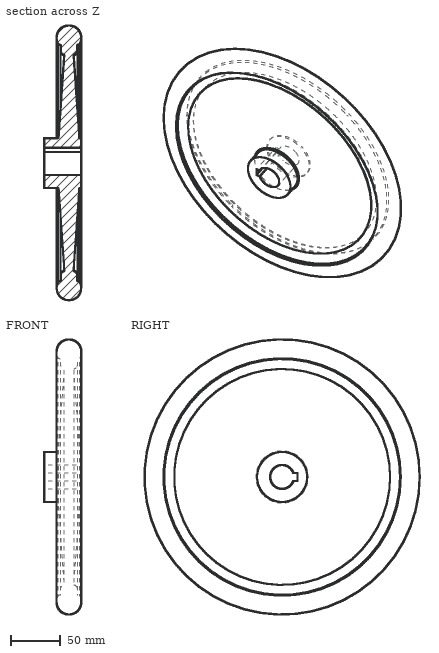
import cadquery as cq

wheel_radius = 140.0
rim_width = 25.5
hub_diameter = 51.0
hub_projection = 12.5
bore_diameter = 24.0
keyway_width = 7.8
keyway_reach = 15.5

rim_inner_radius = 120.7
lip_outer_radius = 119.8
lip_depth = 4.2
lip_inner_radius = 113.5
web_radius = 109.7
web_outer_depth = 7.8
web_hub_depth = 2.0
hub_flare = 1.0
shoulder_bulge = 0.5

rim_radius = rim_width / 2
rim_center_radius = wheel_radius - rim_radius
hub_radius = hub_diameter / 2
hub_front = -rim_radius - hub_projection
rim_cut_offset = (rim_radius**2 - (rim_center_radius - rim_inner_radius) ** 2) ** 0.5

lip_offset = rim_radius - lip_depth
web_outer_offset = rim_radius - web_outer_depth
web_hub_offset = rim_radius - web_hub_depth


def disc_and_rim():
    """Revolve the conical web, the lips and the round rim from one half section."""
    shoulder_offset = (lip_offset + web_outer_offset) / 2 + shoulder_bulge
    shoulder_radius = (lip_inner_radius + web_radius) / 2 - shoulder_bulge
    section = (
        cq.Workplane("XY")
        .moveTo(-web_hub_offset, 0)
        .lineTo(-web_hub_offset, hub_radius)
        .lineTo(-web_outer_offset, web_radius)
        .threePointArc((-shoulder_offset, shoulder_radius), (-lip_offset, lip_inner_radius))
        .lineTo(-lip_offset, lip_outer_radius)
        .lineTo(-rim_cut_offset, rim_inner_radius)
        .threePointArc((0, wheel_radius), (rim_cut_offset, rim_inner_radius))
        .lineTo(lip_offset, lip_outer_radius)
        .lineTo(lip_offset, lip_inner_radius)
        .threePointArc((shoulder_offset, shoulder_radius), (web_outer_offset, web_radius))
        .lineTo(web_hub_offset, hub_radius)
        .lineTo(web_hub_offset, 0)
        .close()
    )
    return section.revolve(360, (0, 0, 0), (1, 0, 0))


def hub():
    """Hub from its raised front to the back of the rim, flared where it meets the front web."""
    flare_radius = hub_radius + hub_flare
    section = (
        cq.Workplane("XY")
        .moveTo(hub_front, 0)
        .lineTo(hub_front, hub_radius)
        .lineTo(-web_hub_offset - hub_flare, hub_radius)
        .lineTo(-web_hub_offset, flare_radius)
        .lineTo(0, flare_radius)
        .lineTo(0, hub_radius)
        .lineTo(rim_radius, hub_radius)
        .lineTo(rim_radius, 0)
        .close()
    )
    return section.revolve(360, (0, 0, 0), (1, 0, 0))


def keyed_bore():
    """Through bore with a rectangular keyway on its +Y side."""
    length = rim_radius - hub_front
    plane = cq.Workplane("YZ").workplane(offset=hub_front)
    bore = plane.circle(bore_diameter / 2).extrude(length)
    keyway = plane.center(keyway_reach / 2, 0).rect(keyway_reach, keyway_width).extrude(length)
    return bore.union(keyway)


result = disc_and_rim().union(hub()).cut(keyed_bore())